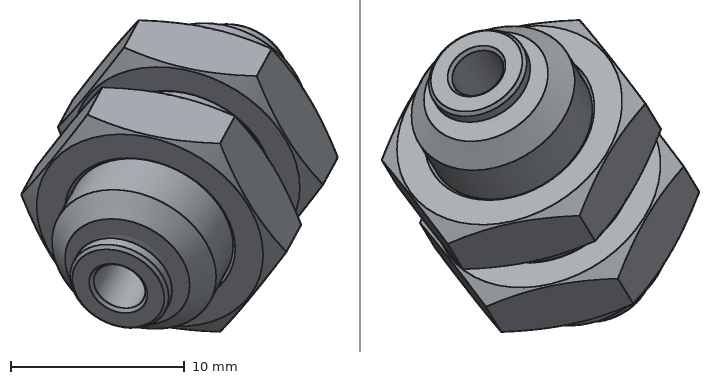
import cadquery as cq
import math


body_radius = 5.0
body_half_length = 9.25
body_chamfer = 1.2

sleeve_half_length = 10.85
flange_radius = 3.0
flange_thickness = 0.8
flange_chamfer = 0.2
neck_radius = 1.85
neck_bevel = 0.2
lip_radius = 2.65
lip_height = 0.12

through_radius = 1.25
tube_radius = 1.57
entry_chamfer = 0.2
shoulder_start = 4.0
shoulder_half_angle = 60.0

nut_across_flats = 14.0
nut_thickness = 4.0
nut_gap = 2.5
nut_face_radius = 6.9
nut_chamfer_angle = 30.0
nut_hole_chamfer = 0.2
nut_centre = (nut_gap + nut_thickness) / 2


def revolve_about_y(half_profile):
    """Revolve a closed (radius, y) outline a full turn about the Y axis."""
    return cq.Workplane("XY").polyline(half_profile).close().revolve(360, (0, 0, 0), (0, 1, 0))


def mirrored(half_outline):
    """Complete a (radius, y) outline, running from Y = 0 outward, with its mirror image."""
    return [(r, -y) for r, y in reversed(half_outline)] + half_outline


def make_shell():
    """Outside of the body and both sleeves as one turned shape."""
    flange_back = sleeve_half_length - flange_thickness
    outline = [
        (body_radius, body_half_length - body_chamfer),
        (body_radius - body_chamfer, body_half_length),
        (lip_radius, body_half_length),
        (neck_radius, body_half_length + lip_height),
        (neck_radius, flange_back - neck_bevel),
        (neck_radius + neck_bevel, flange_back),
        (flange_radius, flange_back),
        (flange_radius, sleeve_half_length - flange_chamfer),
        (flange_radius - flange_chamfer, sleeve_half_length),
        (0, sleeve_half_length),
    ]
    return revolve_about_y(mirrored(outline))


def make_bore():
    """Narrow through passage with a wider tube socket at each end."""
    shoulder_length = (tube_radius - through_radius) / math.tan(math.radians(shoulder_half_angle))
    outline = [
        (through_radius, shoulder_start),
        (tube_radius, shoulder_start + shoulder_length),
        (tube_radius, sleeve_half_length - entry_chamfer),
        (tube_radius + entry_chamfer, sleeve_half_length),
        (0, sleeve_half_length),
    ]
    return revolve_about_y(mirrored(outline))


def make_nut():
    """Hexagon nut centred on Y = 0 with corners on the X axis."""
    half_thickness = nut_thickness / 2
    corner_radius = nut_across_flats / math.sqrt(3)
    corner_drop = (corner_radius - nut_face_radius) * math.tan(math.radians(nut_chamfer_angle))
    hexagon = (
        cq.Workplane("XZ")
        .polygon(6, 2 * corner_radius)
        .extrude(half_thickness, both=True)
    )
    corner_cone = revolve_about_y(mirrored([
        (corner_radius, half_thickness - corner_drop),
        (nut_face_radius, half_thickness),
        (0, half_thickness),
    ]))
    hole = revolve_about_y(mirrored([
        (body_radius, half_thickness - nut_hole_chamfer),
        (body_radius + nut_hole_chamfer, half_thickness),
        (0, half_thickness),
    ]))
    return hexagon.intersect(corner_cone).cut(hole)


result = make_shell()
for side in (-1, 1):
    result = result.union(make_nut().translate((0, side * nut_centre, 0)))
result = result.cut(make_bore())